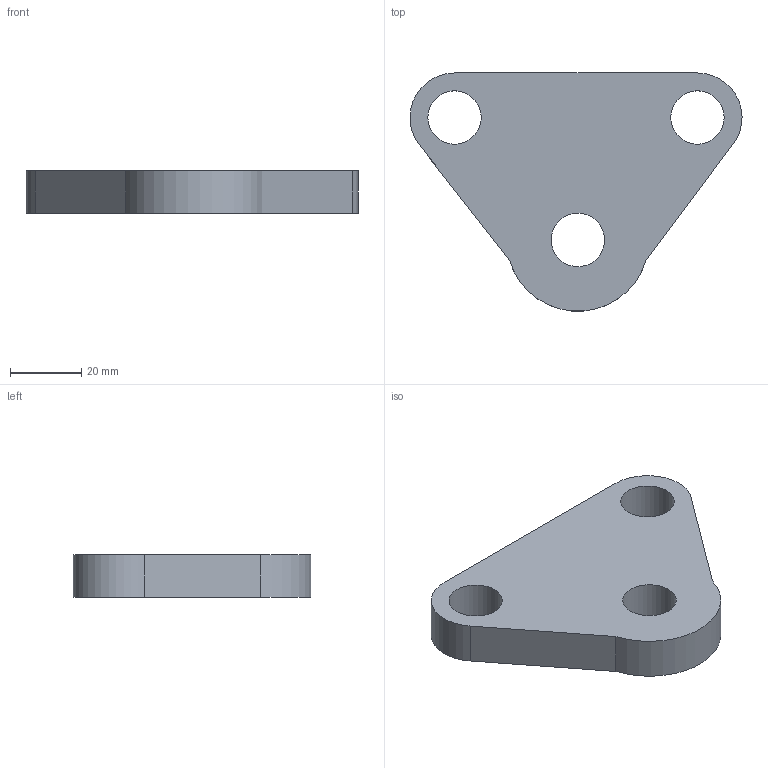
import cadquery as cq
import math

thickness = 12.0
hole_diameter = 15.0
upper_radius = 12.5
lower_radius = 20.0

upper_pitch = 68.17
left_offset = 34.6
upper_offset = 34.35

left_center = (-left_offset, upper_offset)
right_center = (upper_pitch - left_offset, upper_offset)
lower_center = (0.0, 0.0)

left_side_top = 217.8
left_side_bottom = 197.0
right_side_bottom = 343.0
right_side_top = -29.0
straight_up = 90.0


def point_on_circle(center, radius, angle):
    """Point at the given angle on a circle."""
    turn = math.radians(angle)
    return (center[0] + radius * math.cos(turn), center[1] + radius * math.sin(turn))


def add_arc(sketch, center, radius, start_angle, end_angle):
    """Continue the outline with an arc from its current end at start_angle."""
    middle = point_on_circle(center, radius, (start_angle + end_angle) / 2)
    end = point_on_circle(center, radius, end_angle)
    return sketch.threePointArc(middle, end)


def make_plate():
    """Three-cornered plate, traced counterclockwise from the top edge."""
    outline = cq.Workplane("XY").moveTo(*point_on_circle(left_center, upper_radius, straight_up))
    outline = add_arc(outline, left_center, upper_radius, straight_up, left_side_top)
    outline = outline.lineTo(*point_on_circle(lower_center, lower_radius, left_side_bottom))
    outline = add_arc(outline, lower_center, lower_radius, left_side_bottom, right_side_bottom)
    outline = outline.lineTo(*point_on_circle(right_center, upper_radius, right_side_top))
    outline = add_arc(outline, right_center, upper_radius, right_side_top, straight_up)
    return outline.close().extrude(thickness)


def make_holes():
    """Cylinders for the three through holes."""
    centers = [left_center, right_center, lower_center]
    return cq.Workplane("XY").pushPoints(centers).circle(hole_diameter / 2).extrude(thickness)


result = make_plate().cut(make_holes())